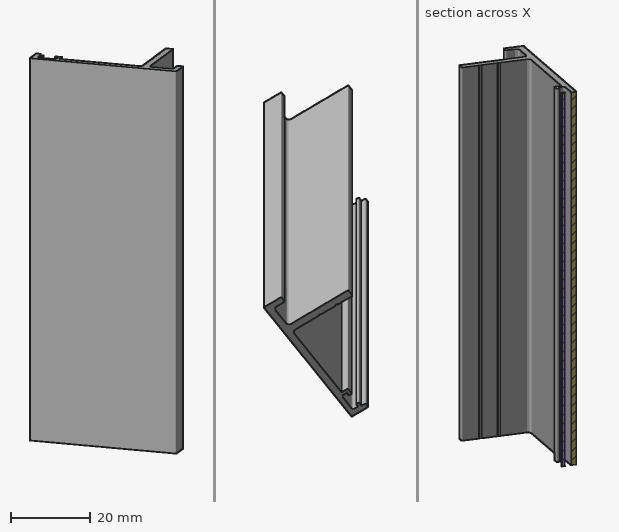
import cadquery as cq

width = 39.2
depth = 20.5
length = 100.0

edge_round = 0.2

plate_thickness = 2.0

stem_thickness = 2.0
stem_left = 29.3
stem_root_fillet = 1.0

score_width = 0.8
score_depth = 0.15
score_positions = (10.5, 15.5)

right_wall_thickness = 1.6
right_wall_height = 5.4
left_wall_height = 5.1
left_wall_tip_thickness = 1.3

channel_left = 1.6
channel_right = 6.5
channel_floor = 1.4
channel_corner_fillet = 0.6
mouth_left = 2.5
mouth_right = 5.6
lip_underside = 3.0
lip_top = 3.9
hook_right = 7.4

def block(x_min, x_max, y_min, y_max):
    """Full-length rectangular bar between the given X and Y limits."""
    return cq.Workplane("XY").box(
        x_max - x_min, y_max - y_min, length, centered=False
    ).translate((x_min, y_min, 0))

def round_edges(body, points, radius):
    """Round the lengthwise edges passing through the given XY points."""
    for x, y in points:
        nearest = cq.selectors.NearestToPointSelector((x, y, length / 2))
        body = body.edges("|Z").edges(nearest).fillet(radius)
    return body

plate = block(0, width, 0, plate_thickness)

stem_right = stem_left + stem_thickness
stem = block(stem_left, stem_right, 0, depth)
right_wall_inside = width - right_wall_thickness
right_wall = block(right_wall_inside, width, 0, right_wall_height)

channel_body = block(0, hook_right, 0, lip_top)
left_wall = block(0, left_wall_tip_thickness, 0, left_wall_height)

body = plate.union(stem).union(right_wall).union(channel_body).union(left_wall)

body = body.cut(block(channel_left, channel_right, channel_floor, lip_underside))
body = body.cut(block(mouth_left, mouth_right, lip_underside, lip_top))

root_corners = [
    (stem_left, plate_thickness),
    (stem_right, plate_thickness),
    (right_wall_inside, plate_thickness),
]
body = round_edges(body, root_corners, stem_root_fillet)
channel_corners = [(channel_left, channel_floor), (channel_right, channel_floor)]
body = round_edges(body, channel_corners, channel_corner_fillet)
outer_corners = [
    (0, 0),
    (width, 0),
    (width, right_wall_height),
    (right_wall_inside, right_wall_height),
    (stem_right, depth),
    (stem_left, depth),
    (hook_right, lip_top),
    (mouth_right, lip_top),
    (mouth_right, lip_underside),
    (mouth_left, lip_underside),
    (mouth_left, lip_top),
    (left_wall_tip_thickness, left_wall_height),
    (0, left_wall_height),
]
body = round_edges(body, outer_corners, edge_round)

for position in score_positions:
    score = (
        cq.Workplane("XY")
        .moveTo(stem_left, position - score_width / 2)
        .lineTo(stem_left + score_depth, position)
        .lineTo(stem_left, position + score_width / 2)
        .close()
        .extrude(length)
    )
    body = body.cut(score)

result = body